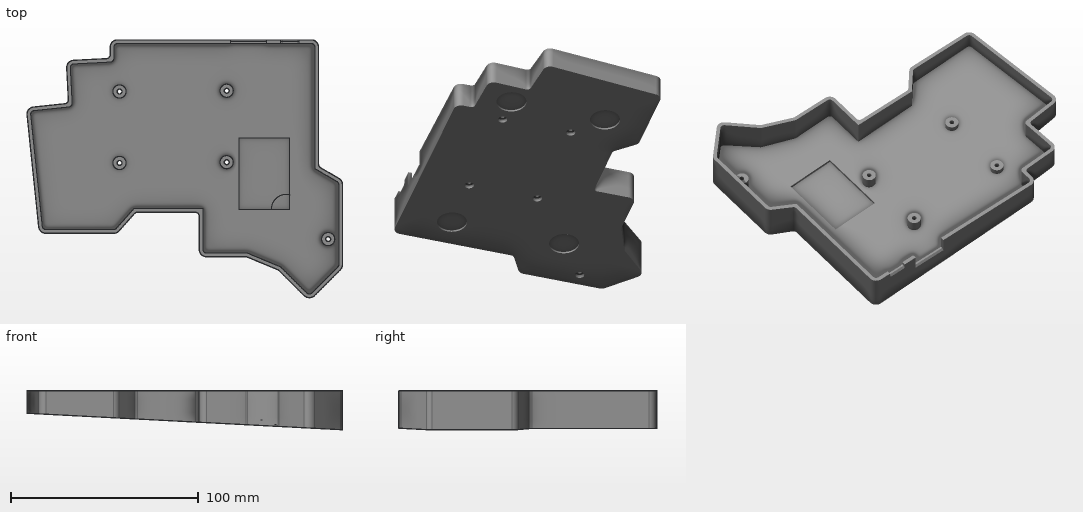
import cadquery as cq
import math

RIM_Z = 0.0
FULL_HEIGHT = 20.89
TILT = math.radians(3.0)
WALL = 2.0
FLOOR = 3.0
RIGHT_X = 83.955
TOP_Y = 68.625

OUTWARD_RADIUS = 4.0
INWARD_RADIUS = 2.0

RAMP_CORNER = (-26.15, -23.2)
RECESS_CORNER = (7.65, -23.2)
SHOULDER_CORNER = (71.25, 1.15)
SHARP_INSIDE = (RAMP_CORNER, RECESS_CORNER, SHOULDER_CORNER)

OUTLINE = [
    (SHOULDER_CORNER[0], TOP_Y),
    (-39.7, TOP_Y),
    (-39.7, 58.75),
    (-63.05, 57.55),
    (-61.9, 34.85),
    (-84.35, 32.5),
    (-77.4, -34.4),
    (-36.1, -34.4),
    RAMP_CORNER,
    RECESS_CORNER,
    (RECESS_CORNER[0], -46.85),
    (32.9, -46.85),
    (49.95, -53.95),
    (66.28, -70.28),
    (RIGHT_X, -52.6),
    (RIGHT_X, -6.2),
    SHOULDER_CORNER,
]

KEY_PITCH = 19.0
STANDOFF_DIAMETER = 7.0
STANDOFF_TOP_Z = -8.8
SCREW_DIAMETER = 2.5
SCREW_HEAD_DIAMETER = 5.0
SCREW_HEAD_DEPTH = 2.0
LEFT_STANDOFF = (-34.7, 3.1)
RIGHT_STANDOFF = (LEFT_STANDOFF[0] + 3 * KEY_PITCH, 3.5)
THUMB_STANDOFF = (76.3, -37.4)
STANDOFFS = [THUMB_STANDOFF]
for base_x, base_y in (LEFT_STANDOFF, RIGHT_STANDOFF):
    STANDOFFS += [(base_x, base_y), (base_x, base_y + 2 * KEY_PITCH)]

POCKET_CENTER = (42.3, -2.65)
POCKET_LENGTH_X = 27.0
POCKET_LENGTH_Y = 38.0
POCKET_DEPTH = 1.5

FOOT_DIAMETER = 16.0
FOOT_DEPTH = 1.0
FEET = [(-50.0, 41.0), (-50.0, -11.2), (54.0, 41.0), (54.0, -21.6)]

LIP_CHAMFER = 1.0
WIDE_NOTCH = {"center_x": 33.9, "width": 19.0, "depth": 7.5}
NARROW_NOTCH = {"center_x": 55.9, "width": 10.0, "depth": 2.0, "corner_radius": 1.0}


def underside_z(x):
    return RIM_Z - FULL_HEIGHT + (RIGHT_X - x) * math.tan(TILT)


def edge_directions(corners, i):
    """Unit directions of the edges that enter and leave corner i."""
    before = cq.Vector(*corners[i - 1])
    here = cq.Vector(*corners[i])
    after = cq.Vector(*corners[(i + 1) % len(corners)])
    return (here - before).normalized(), (after - here).normalized()


def turn_angle(entering, leaving):
    """Signed turn at a corner: positive where the outline turns outwards."""
    return math.atan2(entering.cross(leaving).z, entering.dot(leaving))


def corner_radii(outward, inward, sharp=()):
    """One rounding radius for each corner of the outline."""
    radii = []
    for i, corner in enumerate(OUTLINE):
        radius = outward if turn_angle(*edge_directions(OUTLINE, i)) > 0 else inward
        radii.append(0 if corner in sharp else radius)
    return radii


def inset(corners, distance):
    """Sharp corners of the outline moved inwards by a distance."""
    moved = []
    for i, (x, y) in enumerate(corners):
        entering, leaving = edge_directions(corners, i)
        scale = distance / (1 + entering.dot(leaving))
        shift_x = -(entering.y + leaving.y) * scale
        shift_y = (entering.x + leaving.x) * scale
        moved.append((x + shift_x, y + shift_y))
    return moved


def rounded_prism(corners, radii):
    """Prism over the full height of the part, each corner rounded by its own radius."""
    pen = cq.Workplane("XY").workplane(offset=RIM_Z - FULL_HEIGHT)
    for i, radius in enumerate(radii):
        corner = cq.Vector(*corners[i])
        entering, leaving = edge_directions(corners, i)
        half_turn = abs(turn_angle(entering, leaving)) / 2
        reach = radius * math.tan(half_turn)
        start = corner - entering * reach
        end = corner + leaving * reach
        pen = pen.moveTo(start.x, start.y) if i == 0 else pen.lineTo(start.x, start.y)
        if radius > 0:
            bisector = (leaving - entering).normalized()
            middle = corner + bisector * (radius / math.cos(half_turn) - radius)
            pen = pen.threePointArc((middle.x, middle.y), (end.x, end.y))
    return pen.close().extrude(FULL_HEIGHT)


def space_above(lift):
    """Everything above the underside plane raised by a distance along its normal."""
    reach = 2 * RIGHT_X
    rise = lift / math.cos(TILT)
    ceiling = RIM_Z + FULL_HEIGHT
    corners = [
        (-reach, underside_z(-reach) + rise),
        (reach, underside_z(reach) + rise),
        (reach, ceiling),
        (-reach, ceiling),
    ]
    return cq.Workplane("XZ").polyline(corners).close().extrude(reach, both=True)


def make_tray():
    outside = rounded_prism(OUTLINE, corner_radii(OUTWARD_RADIUS, INWARD_RADIUS))
    inner_radii = corner_radii(OUTWARD_RADIUS - WALL, INWARD_RADIUS, SHARP_INSIDE)
    inside = rounded_prism(inset(OUTLINE, WALL), inner_radii)
    return outside.intersect(space_above(0)).cut(inside.intersect(space_above(FLOOR)))


def standoff_columns(diameter, top_z):
    """Upright cylinders at all standoffs, from below the underside to a height."""
    bottom_z = RIM_Z - 2 * FULL_HEIGHT
    base = cq.Workplane("XY").workplane(offset=bottom_z).pushPoints(STANDOFFS)
    return base.circle(diameter / 2).extrude(top_z - bottom_z)


def underside_recess(x, y, diameter, depth):
    """Round cutter sunk square into the sloping underside."""
    downhill = (math.cos(TILT), 0, -math.sin(TILT))
    into_part = (math.sin(TILT), 0, math.cos(TILT))
    plane = cq.Plane((x, y, underside_z(x)), downhill, into_part)
    return cq.Workplane(plane).circle(diameter / 2).extrude(depth)


def floor_pocket():
    block = cq.Workplane("XY").box(POCKET_LENGTH_X, POCKET_LENGTH_Y, 2 * FULL_HEIGHT)
    block = block.translate((*POCKET_CENTER, RIM_Z))
    return block.intersect(space_above(FLOOR - POCKET_DEPTH))


def notch(center_x, width, depth, corner_radius=0):
    """Cutter open at the rim: a straight slot and a lip that falls outwards at 45 degrees."""
    slot = cq.Workplane("XY").box(width, 2 * WALL, 2 * depth).translate((center_x, TOP_Y, RIM_Z))
    slot = slot.translate((0, -LIP_CHAMFER - WALL, 0))
    if corner_radius > 0:
        slot = slot.edges("|Y and <Z").fillet(corner_radius)
    profile = slot.faces(">Y").wires().val()
    fall = cq.Vector(0, 2 * LIP_CHAMFER, -2 * LIP_CHAMFER)
    lip = cq.Workplane(cq.Solid.extrudeLinear(profile, [], fall))
    return slot.union(lip).union(slot.translate((0, 2 * WALL, 0)))


tray = make_tray()
tray = tray.union(standoff_columns(STANDOFF_DIAMETER, STANDOFF_TOP_Z).intersect(space_above(FLOOR / 2)))
tray = tray.cut(standoff_columns(SCREW_DIAMETER, RIM_Z))
for place in STANDOFFS:
    tray = tray.cut(underside_recess(*place, SCREW_HEAD_DIAMETER, SCREW_HEAD_DEPTH))
for place in FEET:
    tray = tray.cut(underside_recess(*place, FOOT_DIAMETER, FOOT_DEPTH))
tray = tray.cut(floor_pocket())
tray = tray.cut(notch(**WIDE_NOTCH)).cut(notch(**NARROW_NOTCH))

result = tray